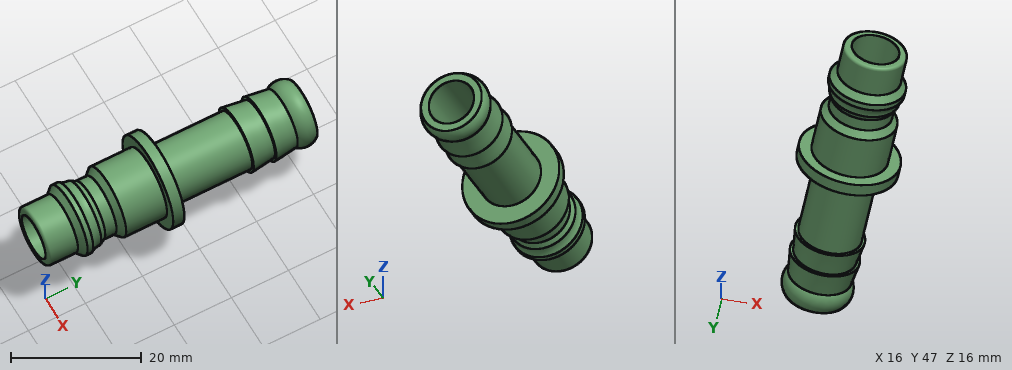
import cadquery as cq
import math

length = 47.0
shaft_radius = 5.0
body_radius = 6.0
flange_radius = 8.0
bore_radius = 3.7

nose_rounding = 0.45
nose_length = 5.0
cone_length = 1.15
collar_land = 1.0
collar_flare = 1.7
collar_shoulder = 1.0
shoulder_radius = 5.5
groove_length = 1.97

flange_front = 20.0
flange_thickness = 1.97

barb_radius = 5.5
barb_length = 4.0
barb_count = 2
bead_radius = 5.6
bead_length = 3.5

front = -length / 2
rear = length / 2
nose_end = front + nose_length
collar_front = nose_end + cone_length
flare_start = collar_front + collar_land
shoulder_start = flare_start + collar_flare
groove_start = shoulder_start + collar_shoulder
groove_end = groove_start + groove_length
body_start = groove_end + cone_length
flange_start = front + flange_front
flange_end = flange_start + flange_thickness
bead_start = rear - bead_length
barbs_start = bead_start - barb_count * barb_length


def add_plug_end(outline):
    """Rounded nose, locking collar, groove and body, up to the flange."""
    rounding_inset = nose_rounding * (1 - math.sqrt(0.5))
    return (
        outline.lineTo(shaft_radius - nose_rounding, front)
        .threePointArc(
            (shaft_radius - rounding_inset, front + rounding_inset),
            (shaft_radius, front + nose_rounding),
        )
        .lineTo(shaft_radius, nose_end)
        .lineTo(body_radius, collar_front)
        .lineTo(body_radius, flare_start)
        .threePointArc(
            tangent_arc_middle(shoulder_radius, shoulder_start, body_radius, flare_start),
            (shoulder_radius, shoulder_start),
        )
        .lineTo(shaft_radius, groove_start)
        .lineTo(shaft_radius, groove_end)
        .lineTo(body_radius, body_start)
        .lineTo(body_radius, flange_start)
    )


def tangent_arc_middle(start_radius, start_y, end_radius, end_y):
    """Middle point of an arc that starts parallel to the axis."""
    rise = end_radius - start_radius
    run = end_y - start_y
    arc_radius = (rise**2 + run**2) / (2 * abs(rise))
    half_angle = math.atan2(abs(rise), abs(run))
    middle_rise = math.copysign(arc_radius * (1 - math.cos(half_angle)), rise)
    middle_run = math.copysign(arc_radius * math.sin(half_angle), run)
    return start_radius + middle_rise, start_y + middle_run


def add_flange(outline):
    return (
        outline.lineTo(flange_radius, flange_start)
        .lineTo(flange_radius, flange_end)
        .lineTo(shaft_radius, flange_end)
    )


def add_hose_end(outline):
    """Barbs that taper towards the rear, then the bead."""
    outline = outline.lineTo(shaft_radius, barbs_start)
    for index in range(barb_count):
        barb_start = barbs_start + index * barb_length
        outline = outline.lineTo(barb_radius, barb_start)
        outline = outline.lineTo(shaft_radius, barb_start + barb_length)
    bead_middle = bead_start + bead_length / 2
    return outline.threePointArc((bead_radius, bead_middle), (shaft_radius, rear))


section = cq.Workplane("XY").moveTo(bore_radius, front)
section = add_plug_end(section)
section = add_flange(section)
section = add_hose_end(section)
section = section.lineTo(bore_radius, rear).close()

result = section.revolve(360, (0, 0, 0), (0, 1, 0))